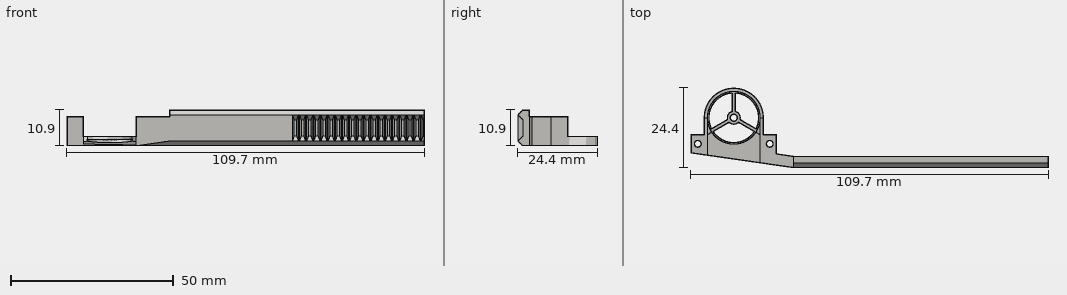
import cadquery as cq
import math


wall = 1.0
bore_radius = 16.2 / 2
ring_radius = bore_radius + wall
ring_height = 2.88
lip_inner_radius = 7.6
lip_height = 1.84
hub_radius = 2.0
hub_hole_radius = 2.1 / 2
spoke_width = 1.0
spoke_angles = (90, 210, 330)
ring_gap_half_angle = 57

ear_reach = 13.1
ear_back_y = -5.2
ear_rise = 6.0
ear_height = ring_height + ear_rise
mount_hole_radius = 2.0 / 2
mount_hole_x = 11.05
mount_hole_y = -8.0

overall_length = 109.69
overall_depth = 24.44
bar_rise = 2.0
bar_height = ear_height + bar_rise
bar_thickness = 3.5
bar_start_x = 18.4
bar_end_x = overall_length - ear_reach
bar_front_y = ring_radius - overall_depth
bar_back_y = bar_front_y + bar_thickness
bar_chamfer = 1.42
front_angle = 8.2
front_slope = math.tan(math.radians(front_angle))

floor_back_y = -4.0
floor_back_height = 1.43
floor_slope = 0.125

rack_module = 0.7
tooth_pitch = math.pi * rack_module
tooth_depth = 2.25 * rack_module
flank_angle = 20
groove_mouth = 1.9
groove_count = 19


def block(x_min, x_max, y_min, y_max, z_min, z_max):
    """Axis-aligned box given by its limits."""
    size = (x_max - x_min, y_max - y_min, z_max - z_min)
    return cq.Workplane("XY").box(*size, centered=False).translate((x_min, y_min, z_min))


def cylinder(radius, height, x=0, y=0):
    """Upright cylinder standing on the bottom plane."""
    return cq.Workplane("XY").center(x, y).circle(radius).extrude(height)


def front_y(x):
    """Y of the tapered front face."""
    return bar_front_y + (bar_start_x - x) * front_slope


def make_body():
    """Ears, side walls and neck at ear height, including the stock between the ears."""
    outline = [
        (-ear_reach, front_y(-ear_reach)),
        (bar_start_x, bar_front_y),
        (bar_start_x, bar_back_y),
        (ear_reach, bar_back_y + (bar_start_x - ear_reach) * front_slope),
        (ear_reach, ear_back_y),
        (ring_radius, ear_back_y),
        (ring_radius, 0),
        (-ring_radius, 0),
        (-ring_radius, ear_back_y),
        (-ear_reach, ear_back_y),
    ]
    body = cq.Workplane("XY").polyline(outline).close().extrude(ear_height)
    for x in (-mount_hole_x, mount_hole_x):
        body = body.cut(cylinder(mount_hole_radius, ear_height, x, mount_hole_y))
    recess = block(-bore_radius, bore_radius, bar_front_y, 0, 0, ear_height)
    return body.cut(recess)


def make_floor():
    """Plate between the ears, thinning toward its tapered front edge."""
    front_height = floor_back_height - (floor_back_y - bar_front_y) * floor_slope
    profile = [
        (floor_back_y, 0),
        (floor_back_y, floor_back_height),
        (bar_front_y, front_height),
        (bar_front_y, 0),
    ]
    plate = cq.Workplane("YZ").polyline(profile).close().extrude(bore_radius, both=True)
    outline = [
        (-bore_radius, front_y(-bore_radius)),
        (bore_radius, front_y(bore_radius)),
        (bore_radius, floor_back_y),
        (-bore_radius, floor_back_y),
    ]
    footprint = cq.Workplane("XY").polyline(outline).close().extrude(floor_back_height)
    return plate.intersect(footprint)


def make_ring():
    """Ring open toward -Y, filled out to the side walls where it meets them."""
    skirt = block(-ring_radius, ring_radius, -ring_radius, 0, 0, ring_height)
    ring = cylinder(ring_radius, ring_height).union(skirt)
    gap_y = -ring_radius
    gap_x = ring_radius * math.tan(math.radians(ring_gap_half_angle))
    gap_outline = [(0, 0), (-gap_x, gap_y), (gap_x, gap_y)]
    gap = cq.Workplane("XY").polyline(gap_outline).close().extrude(ring_height)
    return ring.cut(gap)


def make_wheel():
    """Full lip inside the ring, with the hub carried on three spokes."""
    wheel = cylinder(bore_radius, lip_height).cut(cylinder(lip_inner_radius, lip_height))
    wheel = wheel.union(cylinder(hub_radius, lip_height))
    spoke_end = (lip_inner_radius + bore_radius) / 2
    spoke = block(0, spoke_end, -spoke_width / 2, spoke_width / 2, 0, lip_height)
    for angle in spoke_angles:
        wheel = wheel.union(spoke.rotate((0, 0, 0), (0, 0, 1), angle))
    return wheel.cut(cylinder(hub_hole_radius, lip_height))


def make_groove():
    """Tooth gap centred on X = 0, with 45 degree ends."""
    flank = math.tan(math.radians(flank_angle))
    mouth_half = groove_mouth / 2
    root_half = mouth_half - tooth_depth * flank
    root_y = bar_front_y + tooth_depth
    plan = [
        (-mouth_half, bar_front_y),
        (mouth_half, bar_front_y),
        (root_half, root_y),
        (-root_half, root_y),
    ]
    gap = cq.Workplane("XY").polyline(plan).close().extrude(bar_height)
    z_low = bar_chamfer
    z_high = bar_height - bar_chamfer
    side = [
        (bar_front_y, z_low),
        (bar_front_y, z_high),
        (root_y, z_high - tooth_depth),
        (root_y, z_low + tooth_depth),
    ]
    envelope = cq.Workplane("YZ").polyline(side).close().extrude(tooth_pitch, both=True)
    return gap.intersect(envelope)


def make_bar():
    """Straight bar with its teeth facing -Y and half a gap at its free end."""
    bar = block(bar_start_x, bar_end_x, bar_front_y, bar_back_y, 0, bar_height)
    bar = bar.faces("<Y").edges(">Z").chamfer(bar_chamfer)
    groove = make_groove()
    for index in range(groove_count):
        bar = bar.cut(groove.translate((bar_end_x - index * tooth_pitch, 0, 0)))
    return bar


def make_bottom_chamfer():
    """Wedge that bevels the lower front edge along the bar and into the neck."""
    corner = [
        (bar_front_y, 0),
        (bar_front_y + bar_chamfer, 0),
        (bar_front_y, bar_chamfer),
    ]
    return cq.Workplane("YZ").polyline(corner).close().extrude(overall_length)


bore = cylinder(bore_radius, ear_height)
result = make_body().union(make_floor()).union(make_ring()).cut(bore)
result = result.union(make_wheel()).union(make_bar()).cut(make_bottom_chamfer())